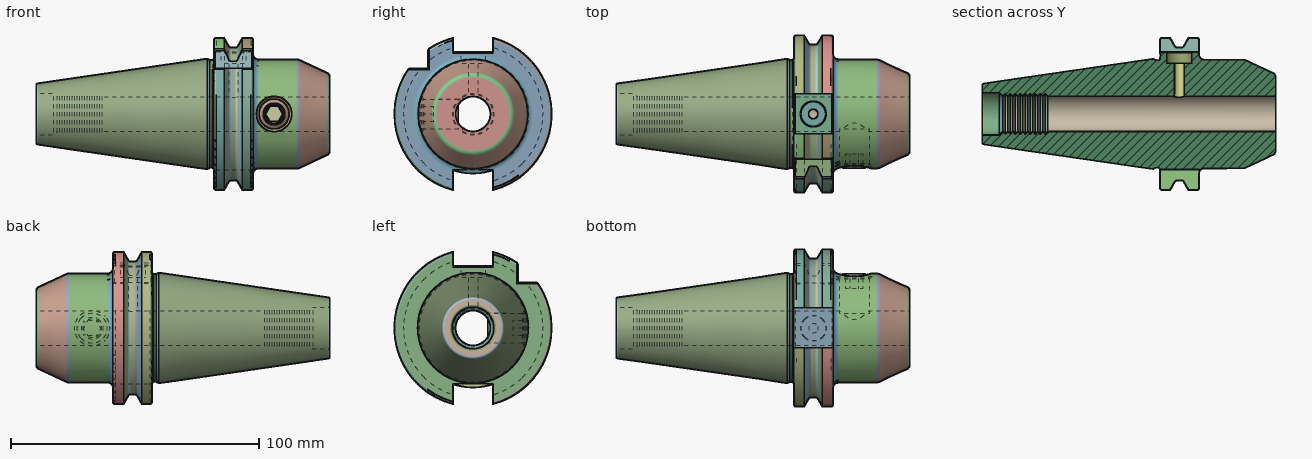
import cadquery as cq
import math

length = 118.4
gauge_x = 68.4
flange_start = 71.6
flange_end = 87.5
nose_cone_x = 105.6

gauge_radius = 22.3
taper_ratio = 7 / 24
small_radius = gauge_radius - gauge_x * taper_ratio / 2
neck_radius = 21.8
flange_radius = 31.7
nose_radius = 22.0
nose_cone_angle = 25.0
face_radius = nose_radius - (length - nose_cone_x) * math.tan(math.radians(nose_cone_angle))
taper_overrun = 0.5
neck_start = 70.0

taper_round = 1.0
face_round = 2.0
cone_round = 2.4
nose_root_round = 2.0
neck_root_round = 0.6
rim_round = 1.0

groove_x = 79.5
groove_half_width = 3.7
groove_floor_half_width = 1.5
groove_half_angle = 30.0
groove_slope = math.tan(math.radians(groove_half_angle))
groove_depth = (groove_half_width - groove_floor_half_width) / groove_slope
groove_round = 1.0

slot_width = 16.1
upper_slot_floor = 25.0
lower_slot_floor = 22.4
notch_wall = 18.2
notch_floor = 18.5
slot_bevel = 0.6

bore_radius = 7.0
thread_radius = 8.0
thread_pitch = 2.0
thread_turns = 9
mouth_radius = 8.4
mouth_depth = 7.0
mouth_round = 1.0

pocket_radius = 5.0
pocket_bevel = 0.2
pocket_depth = 4.5
pocket_vent_radius = 1.9

screw_x = 95.9
screw_radius = 6.0
screw_tip = 5.9
screw_top = 21.9
screw_bevel = 1.7
countersink_radius = 7.1
hex_flats = 6.0
hex_depth = 5.9
hex_mouth_radius = 3.8

cut_clearance = 1.2
match_tolerance = 0.01


def make_outer_body():
    """Revolved taper, flange and nose, with rounded shoulders."""
    profile = (
        cq.Workplane("XZ")
        .moveTo(0, 0)
        .lineTo(0, small_radius)
        .lineTo(gauge_x + taper_overrun, gauge_radius + taper_overrun * taper_ratio / 2)
        .lineTo(neck_start, neck_radius)
        .lineTo(flange_start, neck_radius)
        .lineTo(flange_start, flange_radius)
        .lineTo(flange_end, flange_radius)
        .lineTo(flange_end, nose_radius)
        .lineTo(nose_cone_x, nose_radius)
        .lineTo(length, face_radius)
        .lineTo(length, 0)
        .close()
    )
    body = profile.revolve(360, (0, 0, 0), (1, 0, 0))

    def round_circle(solid, x, radius, fillet):
        edges = solid.edges("%CIRCLE").filter(
            lambda e: abs(e.Center().x - x) < match_tolerance
            and abs(e.radius() - radius) < match_tolerance
        )
        return edges.fillet(fillet)

    body = round_circle(body, 0, small_radius, taper_round)
    body = round_circle(body, flange_start, neck_radius, neck_root_round)
    body = round_circle(body, flange_start, flange_radius, rim_round)
    body = round_circle(body, flange_end, flange_radius, rim_round)
    body = round_circle(body, flange_end, nose_radius, nose_root_round)
    body = round_circle(body, nose_cone_x, nose_radius, cone_round)
    return round_circle(body, length, face_radius, face_round)


def make_groove():
    """Ring with a V section and rounded root, to be cut from the flange."""
    floor = flange_radius - groove_depth
    top = flange_radius + cut_clearance
    top_half = groove_half_width + cut_clearance * groove_slope
    ring = (
        cq.Workplane("XZ")
        .moveTo(groove_x - top_half, top)
        .lineTo(groove_x - groove_floor_half_width, floor)
        .lineTo(groove_x + groove_floor_half_width, floor)
        .lineTo(groove_x + top_half, top)
        .close()
        .revolve(360, (0, 0, 0), (1, 0, 0))
    )
    root = ring.edges("%CIRCLE").filter(lambda e: e.radius() < floor + match_tolerance)
    return root.fillet(groove_round)


def flange_block(y_min, y_max, z_min, z_max):
    """Block across the full flange width, bounded in Y and Z."""
    block = cq.Workplane("XY").box(flange_end - flange_start, y_max - y_min, z_max - z_min, centered=False)
    return block.translate((flange_start, y_min, z_min))


def bevel_floor_edges(body, is_cut_edge):
    """Bevel the straight edges of a slot where it meets the two flange faces."""
    def on_flange_face(e):
        box = e.BoundingBox()
        offset = min(abs(box.xmin - flange_start), abs(box.xmin - flange_end))
        return box.xlen < match_tolerance and offset < match_tolerance

    edges = body.edges("%LINE").filter(lambda e: on_flange_face(e) and is_cut_edge(e.Center()))
    return edges.chamfer(slot_bevel)


def cut_slots(body):
    """Two drive slots and the notch, with bevels along the notch and the upper slot floor."""
    half = slot_width / 2
    outside = flange_radius + cut_clearance
    body = body.cut(flange_block(-half, half, upper_slot_floor, outside))
    body = body.cut(flange_block(-half, half, -outside, -lower_slot_floor))
    body = body.cut(flange_block(-outside, -notch_wall, notch_floor, outside))

    body = bevel_floor_edges(body, lambda c: abs(c.z - upper_slot_floor) < match_tolerance)
    return bevel_floor_edges(
        body,
        lambda c: abs(c.z - notch_floor) < match_tolerance or abs(c.y + notch_wall) < match_tolerance,
    )


def make_bore():
    """Through bore with a plain mouth and ring-shaped threads at the small end."""
    thread_start = mouth_depth + mouth_radius - bore_radius
    profile = (
        cq.Workplane("XZ")
        .moveTo(0, 0)
        .lineTo(0, mouth_radius + mouth_round)
        .radiusArc((mouth_round, mouth_radius), -mouth_round)
        .lineTo(mouth_depth, mouth_radius)
        .lineTo(thread_start, bore_radius)
    )
    for turn in range(thread_turns):
        x = thread_start + turn * thread_pitch
        profile = profile.lineTo(x + thread_pitch / 2, thread_radius).lineTo(x + thread_pitch, bore_radius)
    profile = profile.lineTo(length, bore_radius).lineTo(length, 0).close()
    return profile.revolve(360, (0, 0, 0), (1, 0, 0))


def make_chip_pocket():
    """Round pocket in the upper slot floor, with a vent down to the bore."""
    at_floor = cq.Workplane("XY", origin=(groove_x, 0, upper_slot_floor))
    pocket = at_floor.circle(pocket_radius).extrude(-pocket_depth)
    mouth = at_floor.circle(pocket_radius + pocket_bevel).extrude(-pocket_bevel, taper=45)
    vent = at_floor.circle(pocket_vent_radius).extrude(-upper_slot_floor)
    return pocket.union(mouth).union(vent)


def make_screw_hole():
    """Hole for the clamping screw from the nose surface to the bore, with a countersink."""
    outward = cq.Workplane("XZ", origin=(screw_x, 0, 0))
    outside = nose_radius + cut_clearance
    hole = outward.circle(screw_radius).extrude(outside)
    sink_depth = countersink_radius - screw_radius
    sink_top = math.sqrt(nose_radius**2 - countersink_radius**2)
    sink = outward.workplane(offset=sink_top - sink_depth).circle(screw_radius)
    sink = sink.workplane(offset=sink_depth).circle(countersink_radius).loft()
    opening = outward.workplane(offset=sink_top).circle(countersink_radius).extrude(outside - sink_top)
    return hole.union(sink).union(opening)


def make_holder():
    """Tool holder with its flange cuts, bore, chip pocket and screw hole."""
    body = make_outer_body()
    body = body.cut(make_groove())
    body = cut_slots(body)
    body = body.cut(make_bore())
    body = body.cut(make_chip_pocket())
    return body.cut(make_screw_hole())


def make_screw():
    """Clamping screw along -Y with a flat tip and a hexagon socket."""
    top = cq.Workplane("XZ", origin=(screw_x, -screw_top, 0))
    screw = top.circle(screw_radius).extrude(-(screw_top - screw_tip))
    screw = screw.faces("<Y").edges().chamfer(screw_bevel)
    hex_corners = hex_flats / math.cos(math.pi / 6)
    screw = screw.cut(top.polygon(6, hex_corners).extrude(-hex_depth))
    mouth_cone_depth = hex_mouth_radius - hex_flats / 2
    mouth = top.circle(hex_mouth_radius).workplane(offset=-mouth_cone_depth).circle(hex_flats / 2).loft()
    return screw.cut(mouth)


holder = make_holder()
screw = make_screw()
result = cq.Compound.makeCompound([holder.val(), screw.val()])